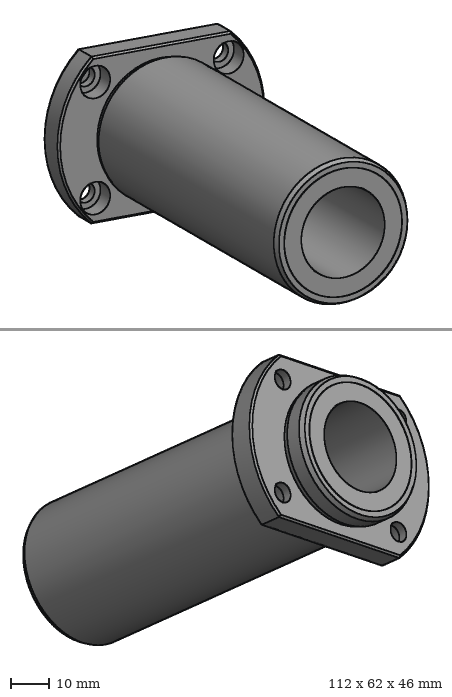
import cadquery as cq

sleeve_length = 112.0
sleeve_diameter = 40.0
bore_diameter = 25.0
end_chamfer_length = 1.5
end_chamfer_depth = 0.73

flange_start = 8.0
flange_thickness = 8.0
flange_diameter = 62.0
flange_height = 46.0
flange_chamfer = 0.6
flange_end = flange_start + flange_thickness

groove_diameter = 38.9
groove_width = 1.8

hole_diameter = 5.5
counterbore_diameter = 9.0
counterbore_depth = 5.2
hole_spacing_y = 40.0
hole_spacing_z = 32.0

seal_diameter = 35.3
seal_recess = 0.1


def disc(x_start, length, diameter):
    """Solid cylinder along +X, centred on the sleeve axis."""
    return cq.Workplane("YZ", origin=(x_start, 0, 0)).circle(diameter / 2).extrude(length)


def sleeve():
    """Turned outer body with tapered ends and two relief grooves."""
    radius = sleeve_diameter / 2
    end_radius = radius - end_chamfer_depth
    groove_radius = groove_diameter / 2
    groove_depth = radius - groove_radius
    groove_start = flange_start - groove_width
    groove_end = flange_end + groove_width

    floor_radius = (groove_width**2 + groove_depth**2) / (2 * groove_depth)

    half_profile = (
        cq.Workplane("XY")
        .lineTo(0, end_radius)
        .lineTo(end_chamfer_length, radius)
        .lineTo(groove_start, radius)
        .radiusArc((flange_start, groove_radius), -floor_radius)
        .lineTo(flange_end, groove_radius)
        .radiusArc((groove_end, radius), -floor_radius)
        .lineTo(sleeve_length - end_chamfer_length, radius)
        .lineTo(sleeve_length, end_radius)
        .lineTo(sleeve_length, 0)
        .close()
    )
    return half_profile.revolve(360, (0, 0), (1, 0))


def flange():
    """Disc cut to two flats, with both rims chamfered all round."""
    flats = cq.Workplane("XY").box(flange_thickness, flange_diameter, flange_height)
    flats = flats.translate((flange_start + flange_thickness / 2, 0, 0))
    body = disc(flange_start, flange_thickness, flange_diameter).intersect(flats)
    return body.faces("<X or >X").chamfer(flange_chamfer)


def mounting_holes(body):
    """Four counterbored holes through the flange."""
    return (
        body.faces(">X")
        .workplane(origin=(flange_end, 0, 0))
        .rect(hole_spacing_y, hole_spacing_z, forConstruction=True)
        .vertices()
        .cboreHole(hole_diameter, counterbore_diameter, counterbore_depth)
    )


drilled_flange = mounting_holes(flange())
result = sleeve().union(drilled_flange)

for recess_start in (0, sleeve_length - seal_recess):
    result = result.cut(disc(recess_start, seal_recess, seal_diameter))

result = result.cut(disc(0, sleeve_length, bore_diameter))